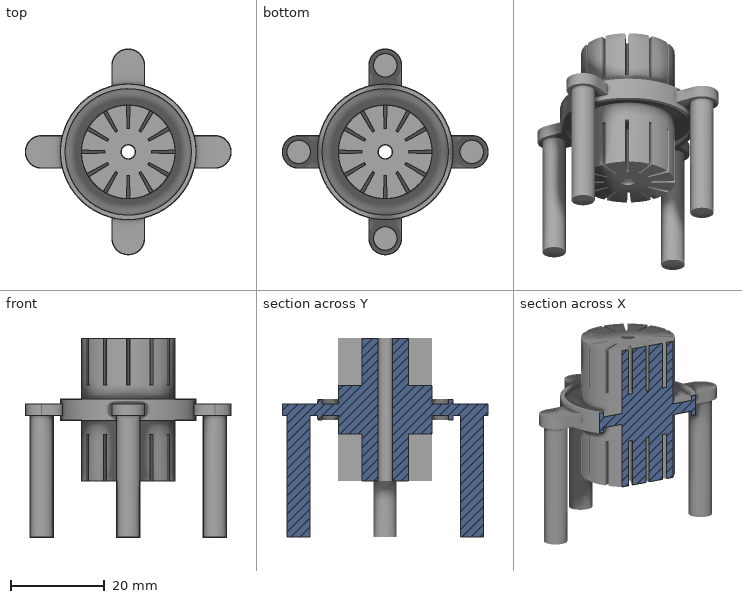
import cadquery as cq

span = 44.0

web_thickness = 2.5
arm_width = 7.0
arm_count = 4
arm_end_radius = arm_width / 2
post_circle_radius = span / 2 - arm_end_radius

rim_outer_diameter = 29.0
rim_inner_diameter = 27.0
rim_lip = 1.0
rim_height = web_thickness + 2 * rim_lip

barrel_diameter = 20.0
barrel_beyond_rim = 13.0
barrel_length = rim_height + 2 * barrel_beyond_rim
bore_diameter = 3.0

slot_count = 12
slot_depth = 10.0
slot_root_radius = 5.0
slot_root_width = 0.5
slot_mouth_width = 0.8

post_diameter = 5.0
post_length = 26.0


def disc(diameter, height):
    """Cylinder on the Z axis, centred on Z = 0."""
    return cq.Workplane("XY").circle(diameter / 2).extrude(height / 2, both=True)


def spread_around_axis(shape, count):
    """Copies of a shape, equally spaced about the Z axis and joined together."""
    copies = cq.Workplane("XY")
    for index in range(count):
        copies = copies.add(shape.rotate((0, 0, 0), (0, 0, 1), index * 360 / count).val())
    return copies.combine()


def make_arm_with_post():
    """Arm along +X with a round end, and the post below that end."""
    arm = (
        cq.Workplane("XY")
        .moveTo(0, -arm_end_radius)
        .lineTo(post_circle_radius, -arm_end_radius)
        .threePointArc((span / 2, 0), (post_circle_radius, arm_end_radius))
        .lineTo(0, arm_end_radius)
        .close()
        .extrude(web_thickness / 2, both=True)
    )
    post = (
        cq.Workplane("XY", origin=(post_circle_radius, 0, -web_thickness / 2))
        .circle(post_diameter / 2)
        .extrude(-post_length)
    )
    return arm.union(post)


def make_slot_cutter():
    """Tapered wedge along +X at the upper end of the barrel."""
    overcut = 0.45
    barrel_radius = barrel_diameter / 2
    taper = (slot_mouth_width - slot_root_width) / (barrel_radius - slot_root_radius)
    outer_width = slot_mouth_width + taper * overcut
    return (
        cq.Workplane("XY", origin=(0, 0, barrel_length / 2))
        .moveTo(slot_root_radius, -slot_root_width / 2)
        .lineTo(barrel_radius + overcut, -outer_width / 2)
        .lineTo(barrel_radius + overcut, outer_width / 2)
        .lineTo(slot_root_radius, slot_root_width / 2)
        .close()
        .extrude(-slot_depth)
    )


def make_slotted_barrel():
    """Solid barrel with a ring of slots in each end."""
    upper_slots = spread_around_axis(make_slot_cutter(), slot_count)
    lower_slots = upper_slots.mirror("XY")
    return disc(barrel_diameter, barrel_length).cut(upper_slots).cut(lower_slots)


rim = disc(rim_outer_diameter, rim_height).cut(disc(rim_inner_diameter, rim_height))
web = disc(rim_outer_diameter, web_thickness)
arms = spread_around_axis(make_arm_with_post(), arm_count)
bore = disc(bore_diameter, barrel_length)

result = web.union(arms).union(rim).union(make_slotted_barrel()).cut(bore)